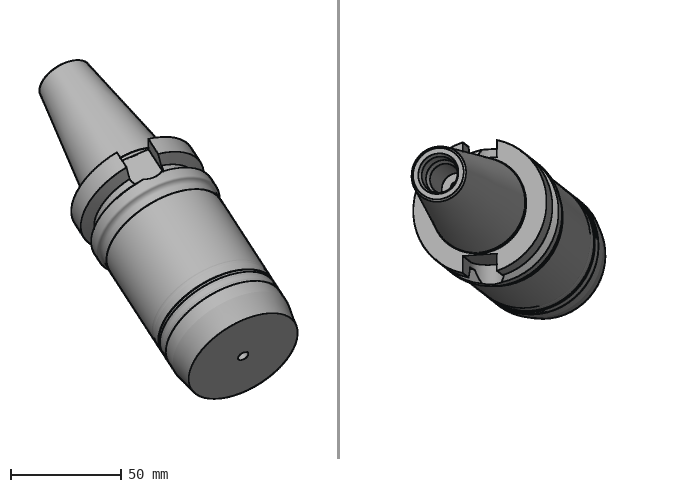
import cadquery as cq
import math


TOTAL_LENGTH = 175.4
TIP_RADIUS = 12.0
TIP_CHAMFER = 0.7
TAPER_END = 65.0
TAPER_END_RADIUS = 22.3
TAPER_RATIO = 7 / 48
NECK_RADIUS = 22.0
FLANGE_START = 67.4
FLANGE_RADIUS = 63.0 / 2
FLANGE_END = 92.0

V_GROOVE_START = 76.8
V_GROOVE_END = 86.8
V_GROOVE_RADIUS = 26.3
V_GROOVE_FLANK_ANGLE = 30

TRANSITION_MIDDLE = 93.1
TRANSITION_END = 95.5
BARREL_RADIUS = 30.0
COLLAR_STEP = 0.2
COLLAR_RADIUS = BARREL_RADIUS - COLLAR_STEP

SLEEVE_START = 99.0
RING_START = 151.2
RING_END = 157.0
CORE_RADIUS = 24.5

NOSE_TAPER_START = 163.8
NOSE_END_RADIUS = 27.9

GROOVE_WIDTH = 2.1
GROOVE_DEPTH = 0.12
GROOVE_WALL_RUN = 0.5
SLEEVE_GROOVE_CENTRE = 144.5
RING_GROOVE_CENTRE = 153.3
RING_STEP_START = 155.4
SLEEVE_STEP_START = 149.6
SLEEVE_STEP_WALL_RUN = 0.2

SLOT_WIDTH = 16.1
SLOT_END = 88.2
SLOT_FLOOR = 22.5

MOUTH_RADIUS = 9.5
MOUTH_CHAMFER = 2.0
COUNTERBORE_RADIUS = 8.5
COUNTERBORE_DEPTH = 6.8
SHOULDER_RADIUS = 8.2
SHOULDER_DEPTH = 8.2
BORE_RADIUS = 7.0
BORE_START = 10.5
BORE_END = 29.8
AXIAL_HOLE_RADIUS = 2.6
AXIAL_HOLE_CHAMFER = 0.4


def turn(profile):
    """Revolve a closed profile of X and radius about the X axis."""
    return profile.close().revolve(360, (0, 0, 0), (1, 0, 0))


def holder_blank():
    flank_run = (FLANGE_RADIUS - V_GROOVE_RADIUS) * math.tan(math.radians(V_GROOVE_FLANK_ANGLE))
    taper_start_radius = TAPER_END_RADIUS - TAPER_RATIO * (TAPER_END - TIP_CHAMFER)
    convex_share = (TRANSITION_MIDDLE - FLANGE_END) / (TRANSITION_END - FLANGE_END)
    middle_radius = FLANGE_RADIUS - convex_share * (FLANGE_RADIUS - COLLAR_RADIUS)
    return turn(
        cq.Workplane("XZ")
        .moveTo(0, 0)
        .lineTo(0, TIP_RADIUS)
        .lineTo(TIP_CHAMFER, taper_start_radius)
        .lineTo(TAPER_END, TAPER_END_RADIUS)
        .lineTo(TAPER_END, NECK_RADIUS)
        .lineTo(FLANGE_START, NECK_RADIUS)
        .lineTo(FLANGE_START, FLANGE_RADIUS)
        .lineTo(V_GROOVE_START, FLANGE_RADIUS)
        .lineTo(V_GROOVE_START + flank_run, V_GROOVE_RADIUS)
        .lineTo(V_GROOVE_END - flank_run, V_GROOVE_RADIUS)
        .lineTo(V_GROOVE_END, FLANGE_RADIUS)
        .lineTo(FLANGE_END, FLANGE_RADIUS)
        .tangentArcPoint((TRANSITION_MIDDLE, middle_radius), relative=False)
        .tangentArcPoint((TRANSITION_END, COLLAR_RADIUS), relative=False)
        .lineTo(SLEEVE_START, COLLAR_RADIUS)
        .lineTo(SLEEVE_START, CORE_RADIUS)
        .lineTo(RING_END, CORE_RADIUS)
        .lineTo(RING_END, BARREL_RADIUS)
        .lineTo(NOSE_TAPER_START, BARREL_RADIUS)
        .lineTo(TOTAL_LENGTH, NOSE_END_RADIUS)
        .lineTo(TOTAL_LENGTH, 0)
    )


def driving_slot():
    """Round-ended slot above the +Z floor, open toward the small end."""
    end_radius = SLOT_WIDTH / 2
    arc_centre = SLOT_END - end_radius
    height = FLANGE_RADIUS - SLOT_FLOOR
    return (
        cq.Workplane("XY", origin=(0, 0, SLOT_FLOOR))
        .moveTo(FLANGE_START, -end_radius)
        .lineTo(arc_centre, -end_radius)
        .threePointArc((SLOT_END, 0), (arc_centre, end_radius))
        .lineTo(FLANGE_START, end_radius)
        .close()
        .extrude(height)
    )


def stepped_bore():
    return turn(
        cq.Workplane("XZ")
        .moveTo(0, 0)
        .lineTo(0, MOUTH_RADIUS)
        .lineTo(MOUTH_CHAMFER, COUNTERBORE_RADIUS)
        .lineTo(COUNTERBORE_DEPTH, COUNTERBORE_RADIUS)
        .lineTo(SHOULDER_DEPTH, SHOULDER_RADIUS)
        .lineTo(BORE_START, BORE_RADIUS)
        .lineTo(BORE_END, BORE_RADIUS)
        .lineTo(BORE_END, AXIAL_HOLE_RADIUS + AXIAL_HOLE_CHAMFER)
        .lineTo(BORE_END + AXIAL_HOLE_CHAMFER, AXIAL_HOLE_RADIUS)
        .lineTo(TOTAL_LENGTH, AXIAL_HOLE_RADIUS)
        .lineTo(TOTAL_LENGTH, 0)
    )


def make_holder():
    holder = holder_blank().cut(stepped_bore())
    for angle in (0, 180):
        holder = holder.cut(driving_slot().rotate((0, 0, 0), (1, 0, 0), angle))
    return holder


def tube(start, end):
    """Plain tube that fits over the core of the holder."""
    return (
        cq.Workplane("YZ", origin=(start, 0, 0))
        .circle(BARREL_RADIUS)
        .circle(CORE_RADIUS)
        .extrude(end - start)
    )


def grip_groove(centre):
    """Groove with sloped walls around the barrel."""
    mouth = GROOVE_WIDTH / 2
    floor = mouth - GROOVE_WALL_RUN
    floor_radius = BARREL_RADIUS - GROOVE_DEPTH
    return turn(
        cq.Workplane("XZ")
        .moveTo(centre - mouth, BARREL_RADIUS)
        .lineTo(centre - floor, floor_radius)
        .lineTo(centre + floor, floor_radius)
        .lineTo(centre + mouth, BARREL_RADIUS)
    )


def end_step(start, end, wall_run):
    """Shallow step with a sloped wall, from the start to the end of a body."""
    floor_radius = BARREL_RADIUS - GROOVE_DEPTH
    return turn(
        cq.Workplane("XZ")
        .moveTo(start, BARREL_RADIUS)
        .lineTo(start + wall_run, floor_radius)
        .lineTo(end, floor_radius)
        .lineTo(end, BARREL_RADIUS)
    )


def make_sleeve():
    step = end_step(SLEEVE_STEP_START, RING_START, SLEEVE_STEP_WALL_RUN)
    return tube(SLEEVE_START, RING_START).cut(grip_groove(SLEEVE_GROOVE_CENTRE)).cut(step)


def make_ring():
    step = end_step(RING_STEP_START, RING_END, GROOVE_WALL_RUN)
    return tube(RING_START, RING_END).cut(grip_groove(RING_GROOVE_CENTRE)).cut(step)


holder = make_holder()
sleeve = make_sleeve()
ring = make_ring()
result = cq.Compound.makeCompound([holder.val(), sleeve.val(), ring.val()])